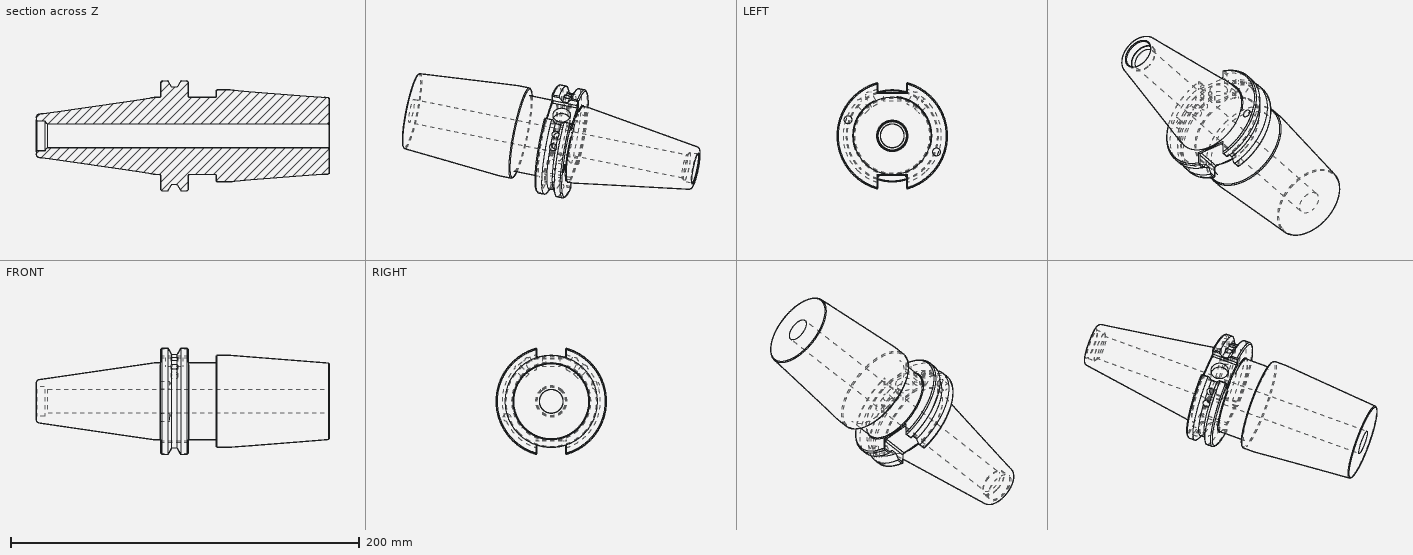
import cadquery as cq
import math


gauge_radius = 44.45 / 2
taper_length = 68.25
taper_ratio = 7 / 24
tip_fillet = 2.0
shank_fillet = 0.5

flange_radius = 63.5 / 2
flange_start = 3.18
flange_end = 19.1
flange_chamfer = 0.8
groove_x = 11.1
groove_floor_radius = 56.25 / 2
groove_floor_width = 3.2
groove_half_angle = 30

neck_fillet = 0.5
collar_start = 35.0
collar_radius = 26.5
collar_chamfer = 0.6
nose_start = 42.75
nose_end = 100.0
nose_angle = 4.5
nose_chamfer = 0.5

bore_radius = 6.75
pilot_radius = 8.5
pilot_depth = 5.1
pilot_mouth_chamfer = 0.5
pilot_ledge = 0.4

slot_width = 16.28
upper_floor = 24.9
lower_floor = 22.7
slot_edge_chamfer = 0.6
slot_foot_chamfer = 1.0

location_hole_diameter = 10.0
location_hole_depth = 5.0
groove_hole_diameter = 4.0
groove_hole_depth = 8.0
groove_hole_angles = (30, 45)
face_hole_diameter = 4.5
face_hole_depth = 5.0
face_hole_tip_angle = 118
face_hole_circle_radius = 27.0
face_hole_angle = 20

tip_x = -taper_length
tip_radius = gauge_radius - taper_length * taper_ratio / 2
nose_radius = collar_radius - (nose_end - nose_start) * math.tan(math.radians(nose_angle))


def revolve_about_axis(points):
    """Revolve an outline of (x, radius) points about the X axis."""
    return cq.Workplane("XZ").polyline(points).close().revolve(360, (0, 0, 0), (1, 0, 0))


def make_shank():
    outline = (
        cq.Workplane("XZ")
        .moveTo(tip_x, 0)
        .lineTo(tip_x, tip_radius)
        .lineTo(0, gauge_radius)
        .lineTo(flange_start - shank_fillet, gauge_radius)
        .radiusArc((flange_start, gauge_radius + shank_fillet), -shank_fillet)
        .lineTo(flange_start, 0)
        .close()
    )
    shank = outline.revolve(360, (0, 0, 0), (1, 0, 0))
    return shank.faces("<X").edges().fillet(tip_fillet)


def make_flange():
    groove_rise = flange_radius - groove_floor_radius
    floor_half = groove_floor_width / 2
    mouth_half = floor_half + groove_rise * math.tan(math.radians(groove_half_angle))
    return revolve_about_axis([
        (flange_start, 0),
        (flange_start, flange_radius - flange_chamfer),
        (flange_start + flange_chamfer, flange_radius),
        (groove_x - mouth_half, flange_radius),
        (groove_x - floor_half, groove_floor_radius),
        (groove_x + floor_half, groove_floor_radius),
        (groove_x + mouth_half, flange_radius),
        (flange_end - flange_chamfer, flange_radius),
        (flange_end, flange_radius - flange_chamfer),
        (flange_end, 0),
    ])


def make_neck_and_nose():
    outline = (
        cq.Workplane("XZ")
        .moveTo(flange_end, 0)
        .lineTo(flange_end, gauge_radius + neck_fillet)
        .radiusArc((flange_end + neck_fillet, gauge_radius), -neck_fillet)
        .lineTo(collar_start - neck_fillet, gauge_radius)
        .radiusArc((collar_start, gauge_radius + neck_fillet), -neck_fillet)
        .lineTo(collar_start, collar_radius - collar_chamfer)
        .lineTo(collar_start + collar_chamfer, collar_radius)
        .lineTo(nose_start, collar_radius)
        .lineTo(nose_end, nose_radius)
        .lineTo(nose_end, 0)
        .close()
    )
    nose = outline.revolve(360, (0, 0, 0), (1, 0, 0))
    return nose.faces(">X").edges().chamfer(nose_chamfer)


def make_bore():
    pilot_end = tip_x + pilot_depth
    cone_radius = pilot_radius - pilot_ledge
    cone_end = pilot_end + cone_radius - bore_radius
    return revolve_about_axis([
        (tip_x, 0),
        (tip_x, pilot_radius + pilot_mouth_chamfer),
        (tip_x + pilot_mouth_chamfer, pilot_radius),
        (pilot_end, pilot_radius),
        (pilot_end, cone_radius),
        (cone_end, bore_radius),
        (nose_end, bore_radius),
        (nose_end, 0),
    ])


def make_slot(floor):
    """Slot through the flange on its +Z side, with broken edges all round."""
    half = slot_width / 2
    mouth_half = half + slot_edge_chamfer
    mouth_z = math.sqrt(flange_radius**2 - mouth_half**2)
    top = flange_radius + slot_edge_chamfer
    right_side = [
        (half - slot_foot_chamfer, floor),
        (half, floor + slot_foot_chamfer),
        (half, mouth_z - slot_edge_chamfer),
        (mouth_half, mouth_z),
        (mouth_half, top),
    ]
    left_side = [(-y, z) for y, z in reversed(right_side)]
    slot = (
        cq.Workplane("YZ", origin=(flange_start, 0, 0))
        .polyline(right_side + left_side)
        .close()
        .extrude(flange_end - flange_start)
    )
    front_bevel = make_slot_bevel(floor, flange_start, 1)
    rear_bevel = make_slot_bevel(floor, flange_end, -1)
    return slot.union(front_bevel).union(rear_bevel)


def make_slot_bevel(floor, face_x, inward):
    """45 degree bevel where a slot meets a flange face."""
    height = flange_radius - floor
    wide = slot_width + 2 * slot_edge_chamfer
    tall = height + 2 * slot_edge_chamfer
    return (
        cq.Workplane("YZ", origin=(face_x, 0, floor + height / 2))
        .rect(wide, tall)
        .workplane(offset=inward * slot_edge_chamfer)
        .rect(slot_width, height)
        .loft()
    )


def make_location_hole():
    bottom = cq.Workplane("XY", origin=(groove_x, 0, upper_floor - location_hole_depth))
    return bottom.circle(location_hole_diameter / 2).extrude(flange_radius)


def make_groove_hole(angle):
    bottom = cq.Workplane("XY", origin=(groove_x, 0, groove_floor_radius - groove_hole_depth))
    hole = bottom.circle(groove_hole_diameter / 2).extrude(groove_hole_depth + groove_hole_diameter / 2)
    return hole.rotate((0, 0, 0), (1, 0, 0), angle)


def make_face_hole(angle):
    y = face_hole_circle_radius * math.cos(math.radians(angle))
    z = face_hole_circle_radius * math.sin(math.radians(angle))
    radius = face_hole_diameter / 2
    tip_length = radius / math.tan(math.radians(face_hole_tip_angle / 2))
    hole = cq.Solid.makeCylinder(radius, face_hole_depth, cq.Vector(flange_start, y, z), cq.Vector(1, 0, 0))
    tip = cq.Solid.makeCone(
        radius, 0, tip_length, cq.Vector(flange_start + face_hole_depth, y, z), cq.Vector(1, 0, 0)
    )
    return hole.fuse(tip)


result = make_shank().union(make_flange()).union(make_neck_and_nose())
result = result.cut(make_bore())
result = result.cut(make_slot(upper_floor))
result = result.cut(make_slot(lower_floor).rotate((0, 0, 0), (1, 0, 0), 180))
result = result.cut(make_location_hole())
for hole_angle in groove_hole_angles:
    result = result.cut(make_groove_hole(hole_angle)).cut(make_groove_hole(-hole_angle))
for hole_angle in (face_hole_angle, face_hole_angle + 180):
    result = result.cut(make_face_hole(hole_angle))